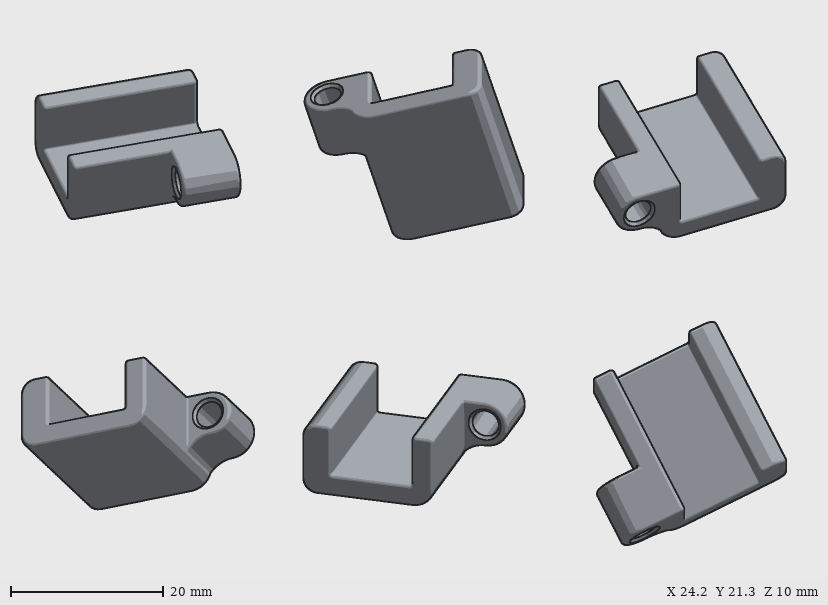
import cadquery as cq
import math

left_wall = 4.0
right_wall = 3.0
channel_width = 11.0
floor_thickness = 3.0
height = 10.0
depth = 21.25
left_corner_radius = 2.0
right_corner_radius = right_wall
body_width = left_wall + channel_width + right_wall

total_width = 24.2
lug_radius = 3.2
lug_depth = 8.0
lug_x = total_width - lug_radius
lug_z = height - lug_radius
web_radius = 4.0
web_sweep = math.radians(60)
hole_diameter = 3.6
hole_chamfer = 0.4

edge_radius = 0.5
inner_radius = 0.25

tolerance = 0.002


def extrude_back(profile, start_y, length):
    """Extrude an XZ profile from start_y toward +Y."""
    return profile.extrude(-length).translate((0, start_y, 0))


def make_body():
    block = extrude_back(cq.Workplane("XZ").rect(body_width, height, centered=False), 0, depth)
    block = block.edges("|Y and <X").fillet(left_corner_radius)
    block = block.edges("|Y and >X and <Z").fillet(right_corner_radius)
    channel = extrude_back(
        cq.Workplane("XZ")
        .moveTo(left_wall, floor_thickness)
        .rect(channel_width, height, centered=False),
        0,
        depth,
    )
    channel = channel.edges("|Y and <Z").fillet(inner_radius)
    return block.cut(channel)


def web_point(angle):
    """Point on the concave underside, at an angle measured from straight above its centre."""
    center_z = lug_z - lug_radius - web_radius
    return (lug_x - web_radius * math.sin(angle), center_z + web_radius * math.cos(angle))


def make_lug():
    inside_wall_x = body_width - right_wall / 2
    profile = (
        cq.Workplane("XZ")
        .moveTo(inside_wall_x, height)
        .lineTo(lug_x, height)
        .threePointArc((total_width, lug_z), web_point(0))
        .threePointArc(web_point(web_sweep / 2), web_point(web_sweep))
        .lineTo(inside_wall_x, floor_thickness)
        .close()
    )
    return extrude_back(profile, depth - lug_depth, lug_depth)


def edges_in_box(part, low, high):
    return part.edges(cq.selectors.BoxSelector(low, high))


def position_key(edge):
    """Sort key: the edge's centre by X, then Y, then Z, rounded to hide numerical noise."""
    center_decimals = 3
    return [round(value, center_decimals) for value in edge.Center().toTuple()]


part = make_body().union(make_lug())

outside_edges = part.faces("<Y or >Y or >Z").edges().vals()
outside_edges.sort(key=position_key)
part = part.newObject(outside_edges).fillet(edge_radius)

lug_front = depth - lug_depth
inside_corner = edges_in_box(
    part,
    (body_width - tolerance, lug_front - tolerance, floor_thickness),
    (body_width + tolerance, lug_front + tolerance, height),
)
part = inside_corner.edges("|Z").fillet(inner_radius)

hole = extrude_back(
    cq.Workplane("XZ").center(lug_x, lug_z).circle(hole_diameter / 2), lug_front, lug_depth
)
part = part.cut(hole)
hole_rims = edges_in_box(
    part,
    (lug_x - tolerance, lug_front - tolerance, lug_z - tolerance),
    (lug_x + tolerance, depth + tolerance, lug_z + tolerance),
)
result = hole_rims.edges("%CIRCLE").chamfer(hole_chamfer)